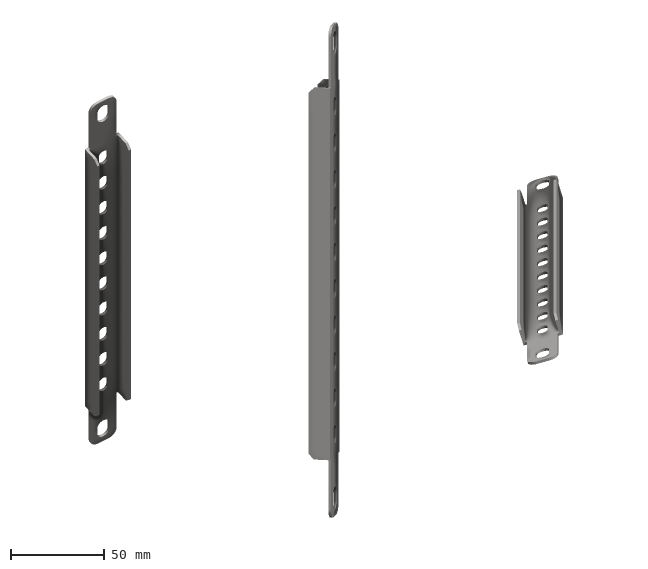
import cadquery as cq

length = 270.0
width = 22.0
depth = 12.0
thickness = 1.5

flange_length = 204.0
flange_chamfer = 3.0

tab_width = 17.0
tab_corner_radius = 5.0

slot_count = 10
slot_row_span = 180.0
slot_pitch = slot_row_span / (slot_count - 1)
slot_width = 6.0
slot_length = 10.0

mount_slot_width = 7.5
mount_slot_length = 12.5
mount_slot_end_distance = 10.0
mount_slot_z = length / 2 - mount_slot_end_distance

web_plane = cq.Workplane("YZ")


def make_web():
    """Flat strip: wide between the flanges, with a rounded tab at each end."""
    strip = web_plane.rect(tab_width, length).extrude(thickness)
    strip = strip.edges("|X").fillet(tab_corner_radius)
    return strip.union(web_plane.rect(width, flange_length).extrude(thickness))


def make_flange(side):
    """Side wall on the -Y (side = -1) or +Y (side = 1) edge of the web."""
    wall = cq.Workplane("XY").box(depth, thickness, flange_length, centered=(False, True, True))
    wall = wall.edges(">X and |Y").chamfer(flange_chamfer)
    return wall.translate((0, side * (width - thickness) / 2, 0))


def slot_cutter(positions, long_side, short_side):
    """Upright rounded slots through the web at the given (y, z) positions."""
    return web_plane.pushPoints(positions).slot2D(long_side, short_side, 90).extrude(thickness)


slot_positions = [(0, i * slot_pitch - slot_row_span / 2) for i in range(slot_count)]
mount_positions = [(0, -mount_slot_z), (0, mount_slot_z)]

channel = make_web().union(make_flange(-1)).union(make_flange(1))
result = (
    channel
    .cut(slot_cutter(slot_positions, slot_length, slot_width))
    .cut(slot_cutter(mount_positions, mount_slot_length, mount_slot_width))
)